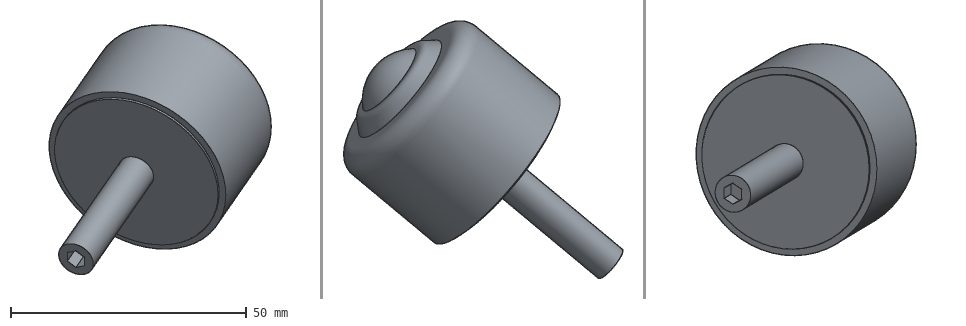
import cadquery as cq
import math

overall_length = 67.0
stem_diameter = 8.05
stem_length = 32.0
lip_diameter = 37.9
lip_height = 0.6
body_diameter = 41.0
body_height = 27.35
body_rounding = 4.0
collar_base_radius = 13.2
collar_height = 3.1
collar_rounding = 2.0
collar_half_angle = 40.0
ball_radius = 11.05
hex_across_flats = 3.95
hex_depth = 4.0

lip_top = stem_length + lip_height
body_top = lip_top + body_height
collar_top = body_top + collar_height

collar_slope = math.radians(collar_half_angle)
cone_height = collar_height - collar_rounding * (1 - math.sin(collar_slope))
cone_top_radius = collar_base_radius - cone_height * math.tan(collar_slope)
arc_center_radius = cone_top_radius - collar_rounding * math.cos(collar_slope)
arc_center_height = collar_top - collar_rounding
arc_middle_angle = (collar_slope + math.pi / 2) / 2
arc_middle = (
    arc_center_radius + collar_rounding * math.cos(arc_middle_angle),
    arc_center_height + collar_rounding * math.sin(arc_middle_angle),
)

ball_center = overall_length - ball_radius
ball_seat_radius = math.sqrt(ball_radius**2 - (collar_top - ball_center) ** 2)
ball_middle_angle = (math.atan2(collar_top - ball_center, ball_seat_radius) + math.pi / 2) / 2
ball_middle = (
    ball_radius * math.cos(ball_middle_angle),
    ball_center + ball_radius * math.sin(ball_middle_angle),
)


def make_turned_body():
    """Stem, lip, body, collar and ball revolved as one half profile."""
    body_radius = body_diameter / 2
    rounding_inset = body_rounding * (1 - math.sqrt(0.5))
    profile = (
        cq.Workplane("XY")
        .lineTo(stem_diameter / 2, 0)
        .lineTo(stem_diameter / 2, stem_length)
        .lineTo(lip_diameter / 2, stem_length)
        .lineTo(lip_diameter / 2, lip_top)
        .lineTo(body_radius, lip_top)
        .lineTo(body_radius, body_top - body_rounding)
        .threePointArc(
            (body_radius - rounding_inset, body_top - rounding_inset),
            (body_radius - body_rounding, body_top),
        )
        .lineTo(collar_base_radius, body_top)
        .lineTo(cone_top_radius, body_top + cone_height)
        .threePointArc(arc_middle, (arc_center_radius, collar_top))
        .lineTo(ball_seat_radius, collar_top)
        .threePointArc(ball_middle, (0, overall_length))
        .close()
    )
    return profile.revolve(360, (0, 0), (0, 1))


def make_hex_socket():
    """Hexagonal recess in the stem end, with two flats facing +X and -X."""
    across_corners = hex_across_flats / math.cos(math.pi / 6)
    return (
        cq.Workplane("XZ")
        .transformed(rotate=(0, 0, 90))
        .polygon(6, across_corners)
        .extrude(-hex_depth)
    )


result = make_turned_body().cut(make_hex_socket())